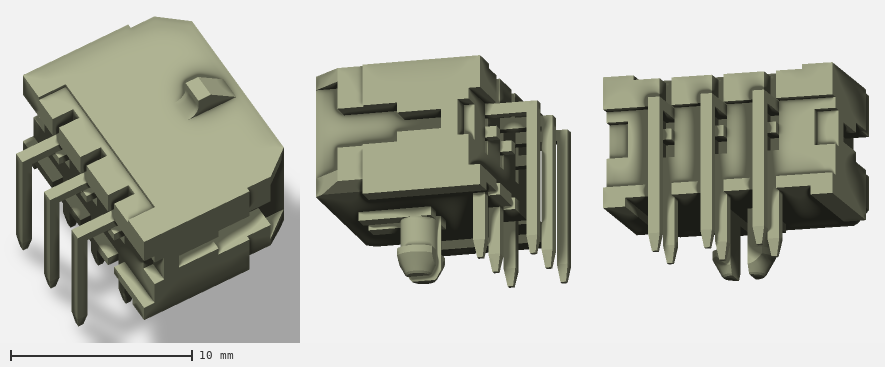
import cadquery as cq


width = 13.15
depth = 9.9
height = 7.42
underside = 0.5
foot_width = 1.26
nose_start = 6.76
nose_half_width = 6.31
nose_taper_start = 8.27
nose_tip_half_width = 4.97
nose_edge_rise = 0.42
nose_edge_run = 0.96

wall_y = 0.67
flange_bottom = 5.59
ledge_top = 1.17
shelf_half_width = 4.84
shelf_depth = 1.72
shelf_drop = 0.26
corner_pocket_width = 1.22
corner_pocket_front = 1.29
corner_pocket_z = (2.95, 4.98)

side_recess_steps = (
    (nose_taper_start, 1.56, 6.64),
    (4.77, 2.84, 5.08),
    (2.24, 3.4, 4.51),
)

pitch = 3.0
contact_width = 0.67
contact_slot_depth = 1.32
contact_slot_bottom = 2.8
upper_contact_top = 5.54
upper_contact_thickness = 0.62
upper_contact_rear = -2.34
lower_contact_front = wall_y + 0.67
stub_z = (3.64, 4.26)
contact_tip_z = -3.15
contact_taper_z = -2.18
contact_tip_width = 0.32

latch_half_width = 0.7
latch_top = 8.8
latch_toe_y = 9.39
latch_crest_y = 7.76
latch_heel_y = 6.95
latch_fillet = 0.75

peg_y = 5.31
peg_half_gap = 0.49
peg_radius = 1.0
peg_barb_radius = 1.29
peg_barb_top = -1.71
peg_barb_bottom = -2.1
peg_cone_bottom = -3.05
peg_cone_radius = 0.76
peg_tip_z = -3.15
peg_tip_radius = 0.66
peg_root_front = 8.48


def box(x_range, y_range, z_range):
    """Box spanning the given (low, high) ranges."""
    x0, x1 = x_range
    y0, y1 = y_range
    z0, z1 = z_range
    return cq.Workplane("XY").box(x1 - x0, y1 - y0, z1 - z0, centered=False).translate((x0, y0, z0))


def mirrored(shape):
    """The shape together with its mirror image in X."""
    return shape.union(shape.mirror("YZ"))


def make_housing():
    half = width / 2
    outline = [
        (half, 0),
        (half, nose_start),
        (nose_half_width, nose_start),
        (nose_half_width, nose_taper_start),
        (nose_tip_half_width, depth),
    ]
    outline += [(-x, y) for x, y in reversed(outline)]
    body = (
        cq.Workplane("XY")
        .workplane(offset=underside)
        .polyline(outline)
        .close()
        .extrude(height - underside)
    )
    nose_edge = (
        cq.Workplane("XZ", origin=(0, nose_start, 0))
        .moveTo(nose_half_width, underside)
        .lineTo(nose_half_width - nose_edge_run, underside)
        .lineTo(nose_half_width, underside + nose_edge_rise)
        .close()
        .extrude(nose_start - depth)
    )
    foot = box((half - foot_width, half), (0, nose_start), (0, underside))
    return body.cut(mirrored(nose_edge)).union(mirrored(foot))


def cut_rear_wall(body):
    half = width / 2
    wall = box((-half, half), (0, wall_y), (ledge_top, flange_bottom))
    shelf = box((-shelf_half_width, shelf_half_width), (0, shelf_depth), (height - shelf_drop, height))
    pocket = box((half - corner_pocket_width, half), (0, corner_pocket_front), corner_pocket_z)
    return body.cut(wall).cut(shelf).cut(mirrored(pocket))


def cut_side_recesses(body):
    for rear, bottom, top in side_recess_steps:
        recess = box((nose_tip_half_width, width / 2), (rear, depth), (bottom, top))
        body = body.cut(mirrored(recess))
    return body


def make_leg(x, y_range, top):
    """Vertical contact leg with a tip tapered on all four sides."""
    half = contact_width / 2
    y0, y1 = y_range
    leg = box((x - half, x + half), y_range, (contact_taper_z, top))
    tip = (
        cq.Workplane("XY", origin=(x, (y0 + y1) / 2, contact_taper_z))
        .rect(contact_width, y1 - y0)
        .workplane(offset=contact_tip_z - contact_taper_z)
        .rect(contact_tip_width, contact_tip_width)
        .loft(ruled=True)
    )
    return leg.union(tip)


def add_contacts(body, x):
    """Slots and the upper and lower contact of the column at x."""
    x_range = (x - contact_width / 2, x + contact_width / 2)
    wall_slot = box(x_range, (0, contact_slot_depth), (contact_slot_bottom, height))
    ledge_slot = box(x_range, (0, wall_y), (0, ledge_top))
    body = body.cut(wall_slot).cut(ledge_slot)

    upper_bottom = upper_contact_top - upper_contact_thickness
    upper_arm = box(x_range, (upper_contact_rear, contact_slot_depth), (upper_bottom, upper_contact_top))
    upper_leg_front = upper_contact_rear + upper_contact_thickness
    upper_leg = make_leg(x, (upper_contact_rear, upper_leg_front), upper_contact_top)
    stub = box(x_range, (0, contact_slot_depth), stub_z)
    lower_leg = make_leg(x, (wall_y, lower_contact_front), ledge_top)
    return body.union(upper_arm).union(upper_leg).union(stub).union(lower_leg)


def make_latch():
    return (
        cq.Workplane("YZ", origin=(-latch_half_width, 0, 0))
        .moveTo(latch_toe_y, height)
        .lineTo(latch_crest_y, latch_top)
        .lineTo(latch_heel_y, latch_top)
        .lineTo(latch_heel_y, height + latch_fillet)
        .radiusArc((latch_heel_y - latch_fillet, height), latch_fillet)
        .close()
        .extrude(2 * latch_half_width)
    )


def make_peg():
    """Two half-round prongs with flat-sided barbs, on rectangular roots."""
    outer = peg_half_gap + peg_radius
    peg_rear = peg_y - peg_radius
    peg_front = peg_y + peg_radius
    prong = (
        cq.Workplane("XZ")
        .moveTo(0, underside)
        .lineTo(peg_radius, underside)
        .lineTo(peg_radius, peg_barb_top)
        .lineTo(peg_barb_radius, peg_barb_top)
        .lineTo(peg_barb_radius, peg_barb_bottom)
        .lineTo(peg_cone_radius, peg_cone_bottom)
        .lineTo(peg_tip_radius, peg_tip_z)
        .lineTo(0, peg_tip_z)
        .close()
        .revolve(360, (0, 0), (0, 1))
        .translate((peg_half_gap, peg_y, 0))
    )
    kept = box(
        (peg_half_gap, peg_half_gap + peg_barb_radius),
        (peg_rear, peg_front),
        (peg_tip_z, underside),
    )
    root = box((peg_half_gap, outer), (peg_rear, peg_root_front), (0, underside))
    return mirrored(prong.intersect(kept).union(root))


result = cut_side_recesses(cut_rear_wall(make_housing()))
for column_x in (-pitch, 0, pitch):
    result = add_contacts(result, column_x)
result = result.union(make_latch()).union(make_peg())